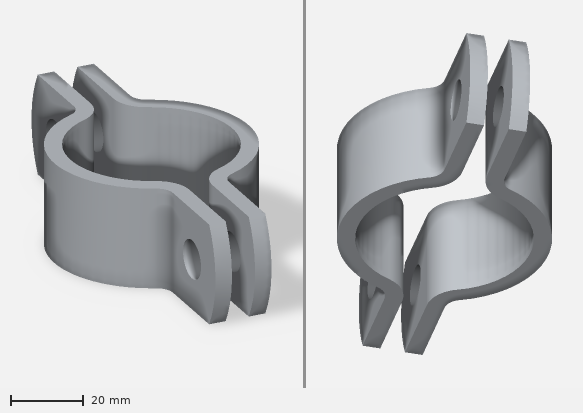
import cadquery as cq
import math

overall_length = 118.0
strap_width = 30.0
thickness = 5.0
ring_inner_radius = 24.5
flange_gap = 7.0
bend_inner_radius = 5.0
hole_diameter = 11.5
hole_spacing = 88.0
tip_radius = 30.0

half_length = overall_length / 2
ring_outer_radius = ring_inner_radius + thickness
bend_outer_radius = bend_inner_radius + thickness
flange_inner_y = flange_gap / 2
flange_outer_y = flange_inner_y + thickness

bend_center_y = flange_outer_y + bend_inner_radius
bend_center_distance = ring_outer_radius + bend_inner_radius
bend_center_x = math.sqrt(bend_center_distance**2 - bend_center_y**2)
tangent_angle = math.atan2(bend_center_y, bend_center_x)

bend_mid_angle = (tangent_angle + math.pi + 1.5 * math.pi) / 2


def bend_middle(radius, side):
    """Middle point of a bend arc; side is +1 for +X and -1 for -X."""
    x = bend_center_x + radius * math.cos(bend_mid_angle)
    y = bend_center_y + radius * math.sin(bend_mid_angle)
    return (side * x, y)


def ring_tangent(radius, side):
    """Point where the ring meets the bend."""
    return (side * radius * math.cos(tangent_angle), radius * math.sin(tangent_angle))


def strap_profile():
    """Bent strap section, extruded symmetrically along Z."""
    return (
        cq.Workplane("XY")
        .moveTo(-half_length, flange_outer_y)
        .lineTo(-bend_center_x, flange_outer_y)
        .threePointArc(bend_middle(bend_inner_radius, -1), ring_tangent(ring_outer_radius, -1))
        .threePointArc((0, ring_outer_radius), ring_tangent(ring_outer_radius, 1))
        .threePointArc(bend_middle(bend_inner_radius, 1), (bend_center_x, flange_outer_y))
        .lineTo(half_length, flange_outer_y)
        .lineTo(half_length, flange_inner_y)
        .lineTo(bend_center_x, flange_inner_y)
        .threePointArc(bend_middle(bend_outer_radius, 1), ring_tangent(ring_inner_radius, 1))
        .threePointArc((0, ring_inner_radius), ring_tangent(ring_inner_radius, -1))
        .threePointArc(bend_middle(bend_outer_radius, -1), (-bend_center_x, flange_inner_y))
        .lineTo(-half_length, flange_inner_y)
        .close()
        .extrude(strap_width / 2, both=True)
    )


def rounded_end_outline():
    """Block with arched ends that trims the flange tips."""
    half_width = strap_width / 2
    tip_sag = tip_radius - math.sqrt(tip_radius**2 - half_width**2)
    corner_x = half_length - tip_sag
    return (
        cq.Workplane("XZ")
        .moveTo(-corner_x, -half_width)
        .lineTo(corner_x, -half_width)
        .threePointArc((half_length, 0), (corner_x, half_width))
        .lineTo(-corner_x, half_width)
        .threePointArc((-half_length, 0), (-corner_x, -half_width))
        .close()
        .extrude(-ring_outer_radius)
    )


def bolt_holes():
    """Two cutters through the flanges along Y."""
    return (
        cq.Workplane("XZ")
        .pushPoints([(-hole_spacing / 2, 0), (hole_spacing / 2, 0)])
        .circle(hole_diameter / 2)
        .extrude(-ring_outer_radius)
    )


def clamp_half(turn):
    """One clamp half, turned about the Z axis by the given angle in degrees."""
    half = strap_profile().intersect(rounded_end_outline()).cut(bolt_holes())
    return half.rotate((0, 0, 0), (0, 0, 1), turn)


clamp_halves = [clamp_half(turn).val() for turn in (0, 180)]

result = cq.Compound.makeCompound(
    [solid for half in clamp_halves for solid in half.Solids()]
)